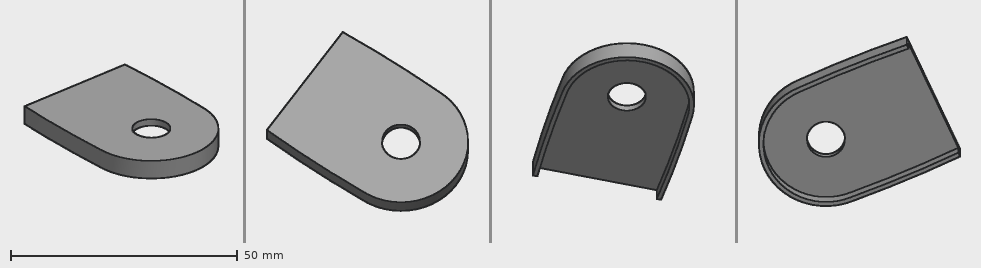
import cadquery as cq

length = 40.8
width = 30.1
height = 4.5
end_radius = 14.85
open_end_width = 29.3
widest_x = 15.65
top_thickness = 1.67
wall = 1.0
hole_diameter = 8.4

end_center_x = length - end_radius


def cover_outline(inset):
    """Bowed-sided tongue shape, with its sides and round end moved inward by inset."""
    open_y = open_end_width / 2 - inset
    widest_y = width / 2 - inset
    radius = end_radius - inset
    return (
        cq.Workplane("XY")
        .moveTo(0, -open_y)
        .threePointArc((widest_x, -widest_y), (end_center_x, -radius))
        .threePointArc((end_center_x + radius, 0), (end_center_x, radius))
        .threePointArc((widest_x, widest_y), (0, open_y))
        .close()
    )


body = cover_outline(0).extrude(height)
cavity = cover_outline(wall).extrude(height - top_thickness)

hole = cq.Workplane("XY").center(end_center_x, 0).circle(hole_diameter / 2).extrude(height)

result = body.cut(cavity).cut(hole)